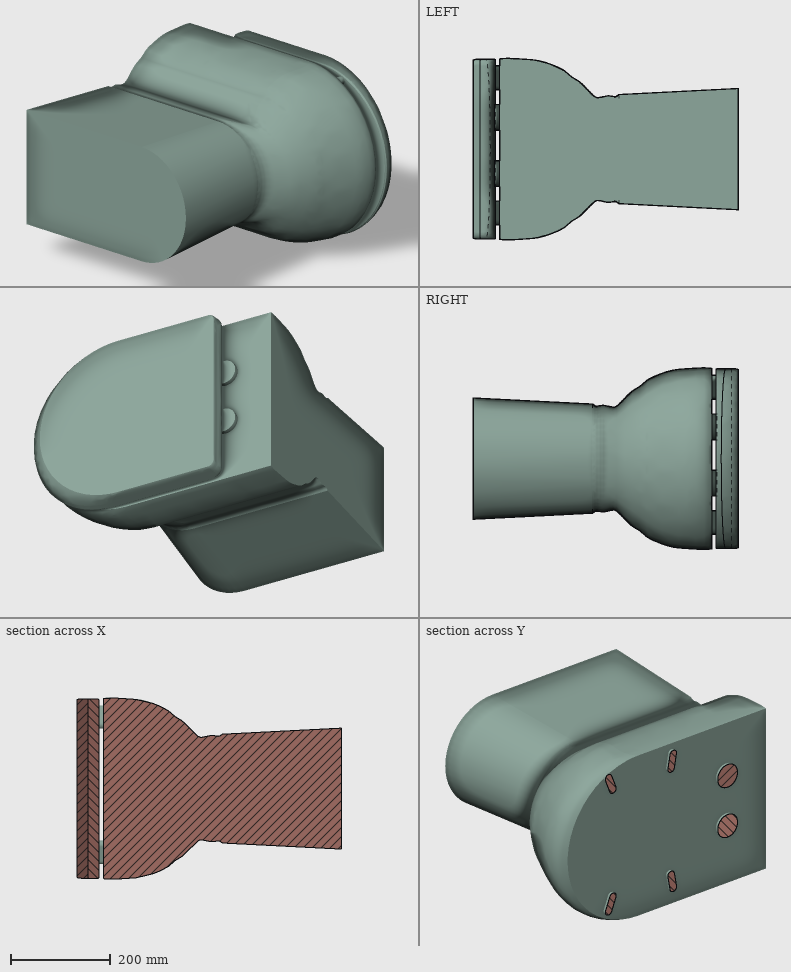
import cadquery as cq
import math


neck_height = 240.0
rim_height = 479.5
seat_gap = 8.0
overall_height = 533.0
seat_bottom = rim_height + seat_gap

floor_half_width = 122.0
floor_nose = 441.0
neck_half_width = 110.0
neck_nose = 413.5

bowl_half_width = 182.5
bowl_stations = [
    (neck_height, neck_half_width, neck_nose),
    (258.5, 107.0, 418.5),
    (273.0, 104.5, 435.0),
    (287.0, 104.5, 452.0),
    (304.0, 120.0, 467.0),
    (325.0, 139.0, 481.5),
    (348.5, 156.5, 493.0),
    (373.0, 169.0, 503.5),
    (400.0, 177.5, 515.5),
    (426.5, 180.5, 524.0),
    (453.0, bowl_half_width, 527.0),
    (471.5, bowl_half_width, 520.0),
    (rim_height, 181.0, 510.5),
]

cover_half_width = 180.5
cover_corner_radius = 13.0
cover_stations = [
    (seat_bottom, 179.0, 530.5, 133.0),
    (492.0, cover_half_width, 532.5, 112.0),
    (498.0, cover_half_width, 530.5, 103.0),
    (506.5, cover_half_width, 527.0, 99.0),
    (517.0, cover_half_width, 521.5, 100.0),
    (525.0, cover_half_width, 512.0, 101.5),
    (overall_height, 178.5, 499.0, 103.0),
]

parting_back = 518.5
parting_front = 499.0
parting_back_x = 106.5
parting_front_x = 522.5

fittings_center_z = 7.5
hinge_pad_radius = 26.0
hinge_pad_height = 10.0
hinge_pad_x = 102.5
hinge_pad_offset = 56.5

bumper_radius = 9.0
bumper_length = 49.0
bumper_offset = 136.0
bumper_places = [(245.0, -10.0), (403.5, 21.0)]


def d_section(height, half_width, nose):
    """D-shaped wire at a given height: flat back, straight sides, semicircular nose."""
    center = nose - half_width
    return (
        cq.Workplane("XZ", origin=(0, height, 0))
        .moveTo(0, -half_width)
        .lineTo(center, -half_width)
        .threePointArc((nose, 0), (center, half_width))
        .lineTo(0, half_width)
        .close()
        .val()
    )


def cover_section(height, half_width, nose, back):
    """D-shaped wire with the two back corners rounded."""
    center = nose - half_width
    radius = cover_corner_radius
    diagonal = radius * (1 - math.sqrt(0.5))
    side_start = back + radius
    back_end = half_width - radius
    return (
        cq.Workplane("XZ", origin=(0, height, 0))
        .moveTo(side_start, -half_width)
        .lineTo(center, -half_width)
        .threePointArc((nose, 0), (center, half_width))
        .lineTo(side_start, half_width)
        .threePointArc((back + diagonal, half_width - diagonal), (back, back_end))
        .lineTo(back, -back_end)
        .threePointArc((back + diagonal, diagonal - half_width), (side_start, -half_width))
        .close()
        .val()
    )


def make_bowl():
    """Tapered pedestal with the flared neck and bulging bowl above it as one solid."""
    floor = d_section(0.0, floor_half_width, floor_nose)
    neck_bottom = d_section(neck_height, neck_half_width, neck_nose)
    pedestal = cq.Solid.makeLoft([floor, neck_bottom], True)
    basin = cq.Solid.makeLoft([d_section(*station) for station in bowl_stations])
    return cq.Workplane(pedestal).union(cq.Workplane(basin))


def make_cover():
    """Outer shape shared by the closed seat and lid."""
    sections = [cover_section(*station) for station in cover_stations]
    return cq.Workplane(cq.Solid.makeLoft(sections))


def make_lid_space():
    """Wedge-shaped block holding everything above the parting plane."""
    slope = (parting_front - parting_back) / (parting_front_x - parting_back_x)
    start_x = 0.0
    end_x = 2 * parting_front_x
    start_y = parting_back + slope * (start_x - parting_back_x)
    end_y = parting_back + slope * (end_x - parting_back_x)
    block_top = 2 * overall_height
    return (
        cq.Workplane("XY")
        .polyline([(start_x, start_y), (end_x, end_y), (end_x, block_top), (start_x, block_top)])
        .close()
        .extrude(2 * cover_half_width, both=True)
    )


def make_hinge_pad(side):
    """Round pad standing on the back of the rim."""
    center_z = fittings_center_z + side * hinge_pad_offset
    return (
        cq.Workplane("XZ", origin=(hinge_pad_x, rim_height, center_z))
        .circle(hinge_pad_radius)
        .extrude(-hinge_pad_height)
    )


def make_bumper(x, tilt, side):
    """Rounded-end bumper that fills the gap between rim and seat."""
    center_z = fittings_center_z + side * bumper_offset
    long_axis_angle = side * (90.0 - tilt)
    return (
        cq.Workplane("XZ", origin=(x, rim_height, center_z))
        .slot2D(bumper_length, 2 * bumper_radius, long_axis_angle)
        .extrude(-seat_gap)
    )


def make_seat(cover, lid_space, hinge_pads):
    """Lower part of the cover with its bumpers, relieved where the hinge pads reach under it."""
    seat = cover.cut(lid_space)
    for hinge_pad in hinge_pads:
        seat = seat.cut(hinge_pad)
    for side in (-1, 1):
        for x, tilt in bumper_places:
            seat = seat.union(make_bumper(x, tilt, side))
    return seat


bowl = make_bowl()
hinge_pads = [make_hinge_pad(side) for side in (-1, 1)]
cover = make_cover()
lid_space = make_lid_space()
lid = cover.intersect(lid_space)
seat = make_seat(cover, lid_space, hinge_pads)

result = cq.Compound.makeCompound(
    [
        bowl.solids().val(),
        seat.solids().val(),
        lid.solids().val(),
        *[hinge_pad.val() for hinge_pad in hinge_pads],
    ]
)